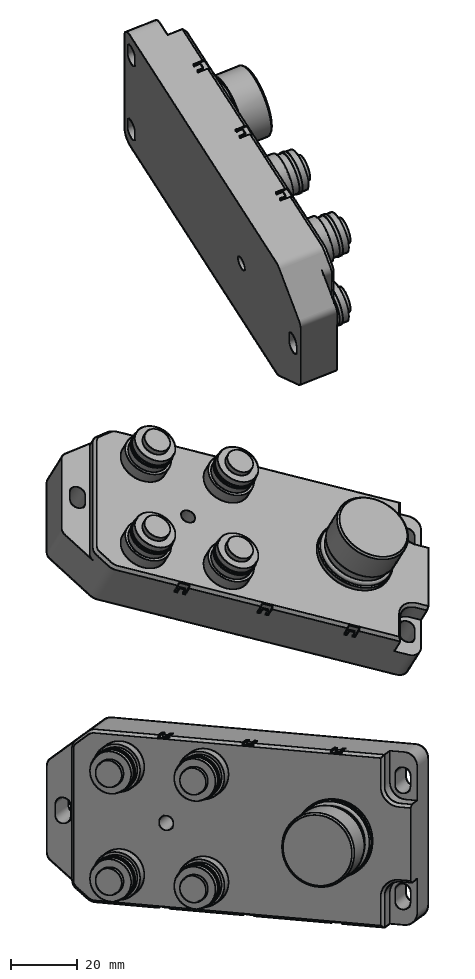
import cadquery as cq
import math


length = 116.5
width = 53.5
corner_radius = 4.1
tip_corner_radius = 2.9
taper_start_x = 101.5
tip_width = 29.6

notch_floor_y = 10.1
tail_top_y = 12.2
chamfer_start_y = 15.0
housing_top_y = 16.1
chamfer_inset = 0.87

block_end_x = 107.5
notch_length = 8.6
notch_inner_z = 12.1
notch_radius = 5.0
overhang = 5.8

slot_width = 4.9
slot_length = 8.0
corner_slot_x = 4.5
corner_slot_z = 17.9
tip_slot_x = 111.4
hole_x = 77.4
hole_diameter = 4.5

small_first_x = 65.0
small_pitch = 26.7
small_z = 16.7
small_steps = [
    (14.8, 19.9),
    (13.0, 22.4),
    (13.5, 23.4),
    (13.0, 25.5),
    (8.3, 27.3),
]

large_x = 24.0
flange_diameter = 24.0
flange_top_y = 17.5
neck_diameter = 21.3
head_diameter = 23.0
head_bottom_y = 22.3
head_top_y = 31.8
head_chamfer = 0.6

ring_outer_diameter = 23.4
ring_section_radius = 0.87
ring_center_radius = ring_outer_diameter / 2 - ring_section_radius
ring_center_y = flange_top_y + ring_section_radius

clip_xs = [23.8, small_first_x - small_pitch / 2, small_first_x + small_pitch / 2]
clip_width = 3.5
clip_depth = 0.6
clip_bottom_y = 11.9
tab_width = 1.7
tab_top_y = 14.0


def level(y):
    """Workplane parallel to the mounting face, facing +Y."""
    return cq.Workplane(cq.Plane((0, y, 0), xDir=(1, 0, 0), normal=(0, 1, 0)))


def disc(x, z, diameter, bottom_y, top_y):
    return level(bottom_y).center(x, -z).circle(diameter / 2).extrude(top_y - bottom_y)


def side_half_width(x):
    """Half the housing width at x, on the tapered sides."""
    slope = (width - tip_width) / 2 / (length - taper_start_x)
    return width / 2 - slope * (x - taper_start_x)


def fillet_corners(outline, corners, radius):
    """Round the outline at each listed (x, z) corner and at its mirror image across Z = 0."""
    for x, z in corners:
        for side in (-1, 1):
            corner = cq.NearestToPointSelector((x, side * z, 0))
            outline = outline.vertices(corner).fillet(radius).reset()
    return outline


def plate_outline():
    """Full housing outline."""
    side = width / 2
    tip = tip_width / 2
    points = [
        (0, -side),
        (taper_start_x, -side),
        (length, -tip),
        (length, tip),
        (taper_start_x, side),
        (0, side),
        (0, -side),
    ]
    outline = cq.Sketch().polygon(points)
    outline = outline.vertices(">X").fillet(tip_corner_radius).reset()
    return fillet_corners(outline, [(0, side), (taper_start_x, side)], corner_radius)


def block_outline():
    """Raised block outline, with a notch at each corner away from the tip."""
    side = width / 2
    end = side_half_width(block_end_x)
    points = [
        (-overhang, -notch_inner_z),
        (notch_length, -notch_inner_z),
        (notch_length, -side),
        (taper_start_x, -side),
        (block_end_x, -end),
        (block_end_x, end),
        (taper_start_x, side),
        (notch_length, side),
        (notch_length, notch_inner_z),
        (-overhang, notch_inner_z),
        (-overhang, -notch_inner_z),
    ]
    outline = cq.Sketch().polygon(points)
    outline = outline.vertices(">X").fillet(tip_corner_radius).reset()
    outline = fillet_corners(outline, [(taper_start_x, side)], corner_radius)
    return fillet_corners(outline, [(notch_length, notch_inner_z)], notch_radius)


def make_plate():
    """Bottom plate: full outline up to the notch floor, and up to the tail level near the tip."""
    floor = level(0).placeSketch(plate_outline()).extrude(notch_floor_y)
    tail = level(0).placeSketch(plate_outline()).extrude(tail_top_y)
    tail_region = cq.Workplane().box(
        length - taper_start_x, tail_top_y, width, centered=(False, False, True)
    )
    return floor.union(tail.intersect(tail_region.translate((taper_start_x, 0, 0))))


def make_block():
    """Raised block, with chamfered top edges everywhere but along X = 0."""
    chamfer_height = housing_top_y - chamfer_start_y
    chamfer_angle = math.degrees(math.atan(chamfer_inset / chamfer_height))
    block = level(notch_floor_y).placeSketch(block_outline()).extrude(chamfer_start_y - notch_floor_y)
    crown = level(chamfer_start_y).placeSketch(block_outline()).extrude(chamfer_height, taper=chamfer_angle)
    trim = cq.Workplane().box(overhang, housing_top_y, width, centered=(False, False, True))
    return block.union(crown).cut(trim.translate((-overhang, 0, 0)))


def mounting_openings():
    slot_places = [(corner_slot_x, -corner_slot_z), (corner_slot_x, corner_slot_z), (tip_slot_x, 0)]
    slots = level(0).pushPoints(slot_places).slot2D(slot_length, slot_width, 90).extrude(housing_top_y)
    return slots.union(disc(hole_x, 0, hole_diameter, 0, housing_top_y))


def clip_recess(x, side):
    """Recess around one clip tab; side is +1 for the +Z side and -1 for the -Z side."""
    recess_height = housing_top_y - clip_bottom_y
    tab_height = tab_top_y - clip_bottom_y
    centered = (True, False, True)
    recess = cq.Workplane().box(clip_width, recess_height, 2 * clip_depth, centered=centered)
    tab = cq.Workplane().box(tab_width, tab_height, 2 * clip_depth, centered=centered)
    return recess.cut(tab).translate((x, clip_bottom_y, side * width / 2))


def small_connector(x, z):
    connector = cq.Workplane()
    bottom_y = housing_top_y
    for diameter, top_y in small_steps:
        connector = connector.add(disc(x, z, diameter, bottom_y, top_y))
        bottom_y = top_y
    return connector.combine()


def large_connector():
    """Flange, neck and head, with a groove for the sealing ring in the neck."""
    flange = disc(large_x, 0, flange_diameter, housing_top_y, flange_top_y)
    neck = disc(large_x, 0, neck_diameter, flange_top_y, head_bottom_y)
    head = disc(large_x, 0, head_diameter, head_bottom_y, head_top_y).faces(">Y").chamfer(head_chamfer)
    return flange.union(neck.cut(make_sealing_ring())).union(head)


def make_sealing_ring():
    ring = cq.Solid.makeTorus(
        ring_center_radius, ring_section_radius, cq.Vector(large_x, ring_center_y, 0), cq.Vector(0, 1, 0)
    )
    return cq.Workplane(ring)


def make_housing():
    housing = make_plate().union(make_block()).cut(mounting_openings())
    for side in (-1, 1):
        for x in clip_xs:
            housing = housing.cut(clip_recess(x, side))
        for x in (small_first_x, small_first_x + small_pitch):
            housing = housing.union(small_connector(x, side * small_z))
    return housing.union(large_connector())


housing = make_housing()
sealing_ring = make_sealing_ring()

result = cq.Compound.makeCompound([housing.val(), sealing_ring.val()])